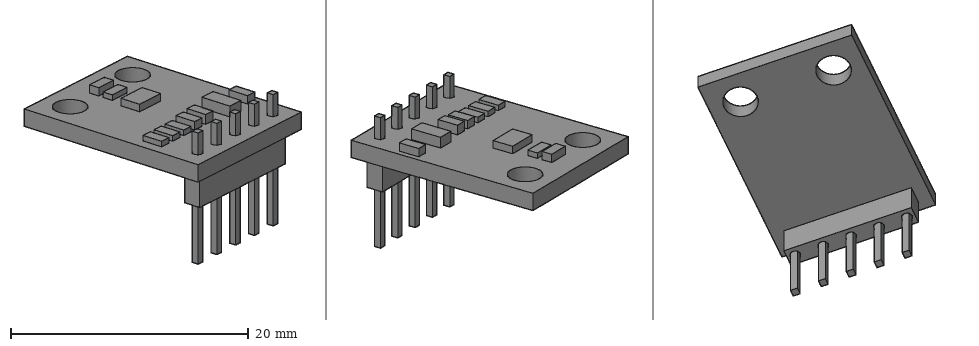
import cadquery as cq
import math


board_length = 18.7
board_width = 14.0
board_thickness = 1.6

mount_hole_diameter = 3.0
mount_hole_x = -6.6
mount_hole_spacing = 8.47

pin_count = 5
pin_pitch = 2.55
pin_side = 0.64
pin_rise = 2.0
pin_drop = 5.5
pin_corner_gap = 0.002
pin_hole_diameter = pin_side * math.sqrt(2) + pin_corner_gap

header_x = 7.75
header_y = 0.04
header_thickness = 1.6
header_length = 11.61
header_height = 3.0

chip_length = 2.0
chip_width = 1.0
low_chip_height = 0.5
medium_chip_height = 0.77
tall_chip_height = 0.9

left_chip_x = -6.58
left_chip_pitch = 1.45

row_chip_x = 3.63
row_first_y = 0.49
row_pitch = 1.5
row_chip_heights = [
    tall_chip_height,
    medium_chip_height,
    low_chip_height,
    low_chip_height,
    low_chip_height,
]

sensor_x = -2.35
sensor_length = 2.0
sensor_width = 2.86
sensor_height = 0.7

capacitor_x = 3.75
capacitor_y = 3.22
capacitor_length = 3.0
capacitor_width = 1.51
capacitor_height = 1.0
corner_chip_y = 5.98

pin_points = [
    (header_x, header_y + (i - (pin_count - 1) / 2) * pin_pitch)
    for i in range(pin_count)
]


def block(size_x, size_y, height, x, y, base_z):
    """Box centred on (x, y), rising from base_z."""
    return (
        cq.Workplane("XY")
        .box(size_x, size_y, height, centered=(True, True, False))
        .translate((x, y, base_z))
    )


def component(size_x, size_y, height, x, y):
    """Component body standing on the top face of the board."""
    return block(size_x, size_y, height, x, y, board_thickness)


def make_components():
    """All the component bodies that belong to the board."""
    parts = [
        component(sensor_length, sensor_width, sensor_height, sensor_x, 0),
        component(capacitor_length, capacitor_width, capacitor_height, capacitor_x, capacitor_y),
        component(chip_length, chip_width, medium_chip_height, capacitor_x, corner_chip_y),
    ]
    for i, height in enumerate([medium_chip_height, low_chip_height]):
        x = left_chip_x + i * left_chip_pitch
        parts.append(component(chip_width, chip_length, height, x, 0))
    for i, height in enumerate(row_chip_heights):
        y = row_first_y - i * row_pitch
        parts.append(component(chip_length, chip_width, height, row_chip_x, y))
    return parts


def make_board():
    """Board with mounting holes, pin holes and its components as one solid."""
    mount_points = [(mount_hole_x, side * mount_hole_spacing / 2) for side in (-1, 1)]
    body = block(board_length, board_width, board_thickness, 0, 0, 0)
    mount_holes = (
        cq.Workplane("XY").pushPoints(mount_points)
        .circle(mount_hole_diameter / 2).extrude(board_thickness)
    )
    pin_holes = (
        cq.Workplane("XY").pushPoints(pin_points)
        .circle(pin_hole_diameter / 2).extrude(board_thickness)
    )
    body = body.cut(mount_holes).cut(pin_holes)
    for part in make_components():
        body = body.union(part)
    return body


def make_header():
    """Header block against the underside of the board, with the pin holes running through."""
    body = block(header_thickness, header_length, header_height, header_x, header_y, -header_height)
    pin_holes = (
        cq.Workplane("XY").pushPoints(pin_points)
        .circle(pin_hole_diameter / 2).extrude(-header_height)
    )
    return body.cut(pin_holes)


def make_pin(x, y):
    """Square pin passing through the header and the board."""
    length = pin_rise + board_thickness + header_height + pin_drop
    return block(pin_side, pin_side, length, x, y, -header_height - pin_drop)


board = make_board()
header = make_header()
pins = [make_pin(x, y) for x, y in pin_points]

result = cq.Compound.makeCompound(
    [board.solids().val(), header.solids().val(), *[pin.val() for pin in pins]]
)